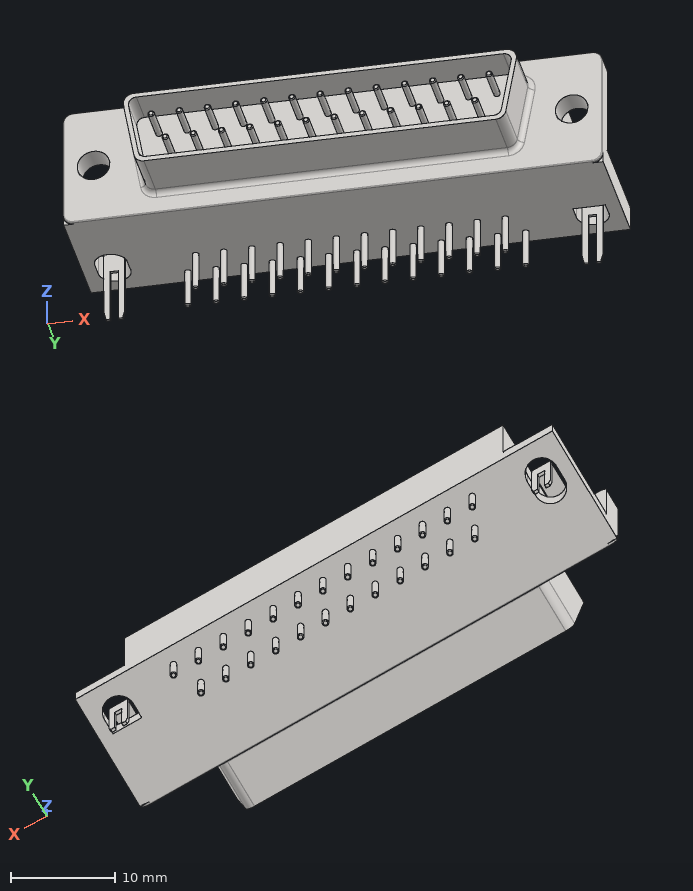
import cadquery as cq
import math

body_width = 53.1
body_height = 12.5
body_depth = 12.7
ear_width = 5.45
foot_height = 2.55
flange_depth = 2.35
plate_thickness = 0.3
plate_edge_fillet = 0.1
corner_radius = 1.0

axis_z = body_height / 2
mount_x = 23.5
mount_hole_diameter = 3.2

shell_length = 5.75
shell_height = 7.85
shell_mid_width = 37.7
shell_wall = 0.5
shell_corner_radius = 1.0
shell_side_angle = 10.0
shell_flare = 0.6
cavity_depth = 3.7

contact_diameter = 0.65
upper_row_span = 33.25
contact_row_gap = 2.8
contact_tip_chamfer = 0.1
upper_row_count = 13
lower_row_count = upper_row_count - 1

tail_length = 3.95
rear_tail_inset = 1.75
tail_row_gap = 2.85

slot_width = mount_hole_diameter
slot_inset = 3.2
slot_straight = 1.6

bracket_thickness = 0.3
bracket_proud = 0.15
bracket_plate_width = 4.0
bracket_strip_width = 2.05
bracket_leg_inset = 3.05
bracket_leg_length = 5.4
bracket_bend_radius = 0.15
prong_gap = 0.8
prong_taper_width = 0.2
prong_taper_height = 0.8

embed = 0.55

rear_y = body_depth
rim_y = -shell_length
floor_y = rim_y + cavity_depth
contact_pitch = upper_row_span / (upper_row_count - 1)
sides = (-1, 1)


def box(x_span, y_span, z_span):
    """Box between the given minimum and maximum coordinates."""
    return cq.Workplane("XY").box(
        x_span[1] - x_span[0],
        y_span[1] - y_span[0],
        z_span[1] - z_span[0],
        centered=False,
    ).translate((x_span[0], y_span[0], z_span[0]))


def centred_span(centre, size):
    return (centre - size / 2, centre + size / 2)


def housing():
    """Main block with a foot at each end behind the front flange."""
    full_width = centred_span(0, body_width)
    body = box(full_width, (plate_thickness, rear_y), (0, body_height))
    for side in sides:
        recess_x = centred_span(side * (body_width - ear_width) / 2, ear_width)
        recess = box(recess_x, (flange_depth, rear_y), (foot_height, body_height))
        body = body.cut(recess)
    top_corners = cq.selectors.BoxSelector(
        (-body_width, 0, body_height - corner_radius),
        (body_width, flange_depth, body_height + corner_radius),
    )
    outer_corners = body.edges("|Y").edges(top_corners).edges("<X or >X")
    return outer_corners.fillet(corner_radius)


def metal_plate():
    """Full-size front plate with rounded corners and a softened front rim."""
    plate = box(centred_span(0, body_width), (0, plate_thickness), (0, body_height))
    plate = plate.edges("|Y").fillet(corner_radius)
    return plate.faces("<Y").edges().fillet(plate_edge_fillet)


def d_prism(inset, start_y, length, radius):
    """D-shaped prism, wider at the top, growing from start_y toward -Y."""
    half_height = shell_height / 2 - inset
    slope = math.radians(shell_side_angle)
    half_mid = shell_mid_width / 2 - inset / math.cos(slope)
    half_top = half_mid + half_height * math.tan(slope)
    half_bottom = half_mid - half_height * math.tan(slope)
    outline = [
        (-half_top, half_height),
        (half_top, half_height),
        (half_bottom, -half_height),
        (-half_bottom, -half_height),
    ]
    prism = (
        cq.Workplane("XZ", origin=(0, start_y, axis_z))
        .polyline(outline)
        .close()
        .extrude(length)
    )
    return prism.edges("|Y").fillet(radius)


def plate_with_shell():
    """Front plate carrying the solid D-shaped shell with a flared root."""
    shell = d_prism(0, 0, shell_length, shell_corner_radius)
    root_reach_x = shell_mid_width / 2 + shell_flare
    root_reach_z = shell_height / 2 + shell_flare
    shell_root = cq.selectors.BoxSelector(
        (-root_reach_x, -plate_thickness, axis_z - root_reach_z),
        (root_reach_x, plate_thickness, axis_z + root_reach_z),
    )
    return metal_plate().union(shell).edges(shell_root).fillet(shell_flare)


def shell_cavity():
    cavity_radius = shell_corner_radius - shell_wall / 2
    return d_prism(shell_wall, floor_y, cavity_depth, cavity_radius)


def rod(base, direction, length):
    """Round contact with a chamfered free end."""
    plane = cq.Plane(origin=base, xDir=(1, 0, 0), normal=direction)
    blank = cq.Workplane(plane).circle(contact_diameter / 2).extrude(length)
    free_end = blank.faces(cq.selectors.DirectionMinMaxSelector(cq.Vector(*direction)))
    return free_end.chamfer(contact_tip_chamfer)


def contact_row(count, row_z, tail_y):
    """Mating contacts of one row together with their solder tails."""
    pin_length = cavity_depth + embed
    row = cq.Workplane("XY")
    for index in range(count):
        x = (index - (count - 1) / 2) * contact_pitch
        row.add(rod((x, floor_y + embed, row_z), (0, -1, 0), pin_length))
        row.add(rod((x, tail_y, embed), (0, 0, -1), tail_length + embed))
    return row.vals()


def bracket(centre_x):
    """Sheet-metal bracket: round-topped plate, strip along the foot and forked leg."""
    plate_rear = flange_depth + bracket_proud
    plate_y = (plate_rear - bracket_thickness, plate_rear)
    strip_top = foot_height + bracket_proud
    strip_bottom = strip_top - bracket_thickness
    leg_rear = rear_y - bracket_leg_inset

    plate_x = centred_span(centre_x, bracket_plate_width)
    strip_x = centred_span(centre_x, bracket_strip_width)
    plate = box(plate_x, plate_y, (strip_bottom, axis_z))
    round_top = (
        cq.Workplane("XZ", origin=(centre_x, plate_y[1], axis_z))
        .circle(bracket_plate_width / 2)
        .extrude(bracket_thickness)
    )
    strip = box(strip_x, (plate_y[0], leg_rear), (strip_bottom, strip_top))

    half_width = bracket_strip_width / 2
    taper_start = -bracket_leg_length + prong_taper_height
    tip_half = half_width - prong_taper_width
    leg_outline = [
        (-half_width, strip_top),
        (half_width, strip_top),
        (half_width, taper_start),
        (tip_half, -bracket_leg_length),
        (-tip_half, -bracket_leg_length),
        (-half_width, taper_start),
    ]
    leg = (
        cq.Workplane("XZ", origin=(centre_x, leg_rear, 0))
        .polyline(leg_outline)
        .close()
        .extrude(bracket_thickness)
    )
    fork = box(
        centred_span(centre_x, prong_gap),
        (leg_rear - bracket_thickness, leg_rear),
        (-bracket_leg_length, 0),
    )
    bent_strip = strip.union(leg.cut(fork))
    outer_bend = cq.selectors.NearestToPointSelector((centre_x, leg_rear, strip_top))
    bent_strip = bent_strip.edges("|X").edges(outer_bend).fillet(bracket_bend_radius)
    return plate.union(round_top).union(bent_strip)


def foot_slot(side):
    """Vertical slot in a foot: round front end at -X, square front end at +X."""
    centre_x = side * mount_x
    arc_y = rear_y - slot_inset
    front_y = arc_y - slot_straight
    slot = box(centred_span(centre_x, slot_width), (front_y, arc_y), (0, foot_height))
    end_centres = [arc_y] if side > 0 else [arc_y, front_y]
    for end_y in end_centres:
        end = cq.Workplane("XY").center(centre_x, end_y)
        slot = slot.union(end.circle(slot_width / 2).extrude(foot_height))
    return slot


def mount_hole(side):
    """Cutter for the hole through the flange, front plate and bracket."""
    hole = cq.Workplane("XZ", origin=(side * mount_x, rear_y, axis_z))
    return hole.circle(mount_hole_diameter / 2).extrude(body_depth)


result = housing().union(plate_with_shell()).cut(shell_cavity())
for side in sides:
    result = result.cut(foot_slot(side))
    result = result.union(bracket(side * mount_x))
    result = result.cut(mount_hole(side))

rear_tail_y = rear_y - rear_tail_inset
upper_contacts = contact_row(upper_row_count, axis_z + contact_row_gap / 2, rear_tail_y)
lower_contacts = contact_row(
    lower_row_count, axis_z - contact_row_gap / 2, rear_tail_y - tail_row_gap
)
for contact in upper_contacts + lower_contacts:
    result = result.union(cq.Workplane(contact))